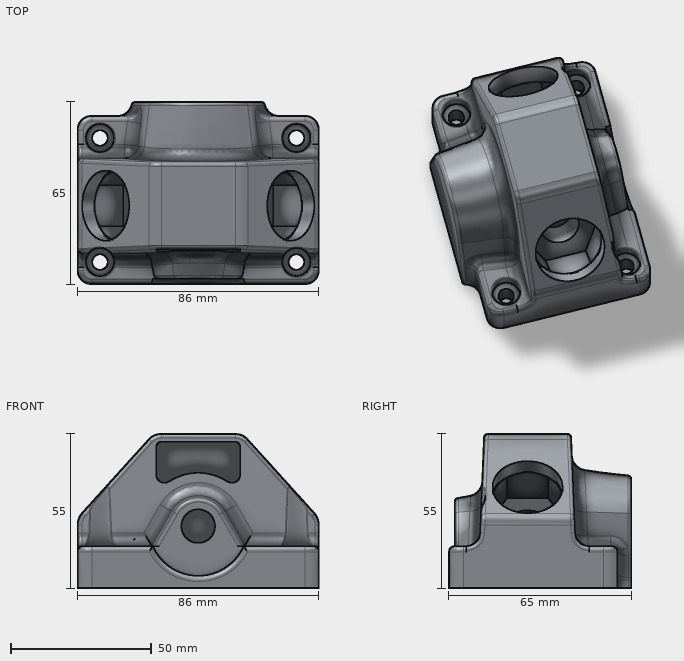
import cadquery as cq
import math

SEAM_TOLERANCE = 1e-4
RIM_TOLERANCE = 1e-3

BASE_LENGTH = 86.0
BASE_WIDTH = 60.0
BASE_HEIGHT = 15.0
BASE_CORNER_RADIUS = 5.0
BASE_EDGE_RADIUS = 2.0

HOUSING_HEIGHT = 55.0
HOUSING_TOP_HALF_LENGTH = 15.8
SHOULDER_HEIGHT = 24.9
SHOULDER_RADIUS = 6.0
HOUSING_CENTER_Y = -2.0
HOUSING_TOP_WIDTH = 31.0
HOUSING_DRAFT = 2.3
HOUSING_EDGE_RADIUS = 1.5
WALL_FILLET = 5.0
CORE_LENGTH = 80.0
CORE_DROP = 3.0

BOSS_AXIS_HEIGHT = 22.1
BOSS_EDGE_RADIUS = 1.5
FRONT_BOSS_Y = -28.0
FRONT_BOSS_ROOT_Y = -13.0
FRONT_BOSS_RADIUS = 9.9
FRONT_BOSS_FLANK = 30.0
FRONT_BOSS_DRAFT = 10.0
REAR_BOSS_Y = 35.0
REAR_BOSS_ROOT_Y = 10.0
REAR_BOSS_RADIUS = 18.0
REAR_BOSS_FLANK = 15.0
REAR_BOSS_DRAFT = 7.0
SKIRT_HEIGHT = 3.0
SKIRT_BEND_RADIUS = 3.0

SHAFT_DIAMETER = 12.0
SHAFT_DEPTH = 15.0
RECESS_RADIUS = 17.7

WINDOW_LENGTH = 30.0
WINDOW_TOP = 52.2
WINDOW_ARC_RADIUS = 19.0
WINDOW_TOP_RADIUS = 2.0
WINDOW_BOTTOM_RADIUS = 3.0
WINDOW_DEPTH = 25.0

SOCKET_HEIGHT = 36.0
SOCKET_DIAMETER = 25.0
SOCKET_RIM_DEPTH = 6.0
HEX_SIDE = 14.7
HEX_FLOOR_DEPTH = 20.0
SCREW_BORE_DIAMETER = 14.0
SCREW_BORE_DEPTH = 12.0

MOUNT_X = 35.0
MOUNT_Y = 22.1
MOUNT_DIAMETER = 5.5
SPOTFACE_DIAMETER = 10.0
SPOTFACE_RIM_RADIUS = 0.5
SPOTFACE_HEIGHT = 10.0

HALF_LENGTH = BASE_LENGTH / 2
HALF_WIDTH = BASE_WIDTH / 2
SLOPE_RUN = HALF_LENGTH - HOUSING_TOP_HALF_LENGTH
SLOPE_RISE = HOUSING_HEIGHT - SHOULDER_HEIGHT


def housing_half_width(z):
    """Half of the drafted housing width at height z."""
    growth = (HOUSING_HEIGHT - z) * math.tan(math.radians(HOUSING_DRAFT))
    return HOUSING_TOP_WIDTH / 2 + growth


def housing_prism():
    """Five-sided housing outline with rounded shoulders, long enough in Y to be trimmed."""
    return (
        cq.Workplane("XZ")
        .moveTo(-HALF_LENGTH, 0)
        .lineTo(HALF_LENGTH, 0)
        .lineTo(HALF_LENGTH, SHOULDER_HEIGHT)
        .lineTo(HOUSING_TOP_HALF_LENGTH, HOUSING_HEIGHT)
        .lineTo(-HOUSING_TOP_HALF_LENGTH, HOUSING_HEIGHT)
        .lineTo(-HALF_LENGTH, SHOULDER_HEIGHT)
        .close()
        .extrude(HALF_WIDTH, both=True)
        .edges("|Y and (not <Z)")
        .fillet(SHOULDER_RADIUS)
    )


def drafted_slab(length):
    """Slab with the drafted front and rear walls of the housing."""
    top = housing_half_width(HOUSING_HEIGHT)
    bottom = housing_half_width(0)
    return (
        cq.Workplane("YZ")
        .center(HOUSING_CENTER_Y, 0)
        .polyline([(-bottom, 0), (bottom, 0), (top, HOUSING_HEIGHT), (-top, HOUSING_HEIGHT)])
        .close()
        .extrude(length / 2, both=True)
    )


def make_base():
    """Rounded base plate with the round recess sunk into its front."""
    base = (
        cq.Workplane("XY")
        .box(BASE_LENGTH, BASE_WIDTH, BASE_HEIGHT, centered=(True, True, False))
        .edges("|Z")
        .fillet(BASE_CORNER_RADIUS)
        .faces(">Z")
        .edges()
        .fillet(BASE_EDGE_RADIUS)
    )
    return base.cut(recess_cutter())


def recess_cutter():
    """Disc that sinks the base front to the boss face, with a flared rounded rim."""
    rim_radius = RECESS_RADIUS + BASE_EDGE_RADIUS
    arc_reach = BASE_EDGE_RADIUS * math.sqrt(0.5)
    return (
        cq.Workplane("XY", origin=(0, 0, BOSS_AXIS_HEIGHT))
        .moveTo(0, FRONT_BOSS_Y)
        .lineTo(RECESS_RADIUS, FRONT_BOSS_Y)
        .threePointArc(
            (rim_radius - arc_reach, FRONT_BOSS_Y - arc_reach),
            (rim_radius, -HALF_WIDTH),
        )
        .lineTo(0, -HALF_WIDTH)
        .close()
        .revolve(360, (0, 0), (0, 1))
    )


def make_housing():
    """Housing with flared feet on its front and rear walls and rounded rim edges."""
    slab = drafted_slab(BASE_LENGTH)
    pedestal = cq.Workplane("XY").box(
        BASE_LENGTH, BASE_WIDTH, BASE_HEIGHT, centered=(True, True, False)
    )
    foot_corners = cq.selectors.BoxSelector(
        (-1, -HALF_WIDTH + 1, BASE_HEIGHT - 1), (1, HALF_WIDTH - 1, BASE_HEIGHT + 1)
    )
    footed = slab.union(pedestal).edges(foot_corners).fillet(WALL_FILLET)
    foot_reach = WALL_FILLET * math.tan(math.radians(45 - HOUSING_DRAFT / 2))
    foot_end = housing_half_width(BASE_HEIGHT) + foot_reach
    foot_limit = cq.Workplane("XY", origin=(0, HOUSING_CENTER_Y, 0)).box(
        BASE_LENGTH, 2 * foot_end, HOUSING_HEIGHT, centered=(True, True, False)
    )
    housing = footed.intersect(foot_limit).intersect(housing_prism())
    rim = housing.edges("not(|X or |Y or |Z)").add(housing.faces(">Z").edges("|X"))
    return rim.fillet(HOUSING_EDGE_RADIUS)


def make_boss(face_y, root_y, radius, flank_angle, draft):
    """Drafted boss: round crown, tangent flanks and a plumb skirt, widening toward the housing."""
    angle = math.radians(flank_angle)
    tangent_x = radius * math.cos(angle)
    tangent_z = BOSS_AXIS_HEIGHT + radius * math.sin(angle)
    bend_length = SKIRT_BEND_RADIUS * math.tan(angle / 2)
    bend_x = tangent_x + (tangent_z - SKIRT_HEIGHT - bend_length) * math.tan(angle)
    bend_top_x = bend_x - bend_length * math.sin(angle)
    bend_top_z = SKIRT_HEIGHT + bend_length * (1 + math.cos(angle))
    inward = 1 if root_y > face_y else -1
    face_plane = cq.Plane(origin=(0, face_y, 0), xDir=(-inward, 0, 0), normal=(0, inward, 0))
    boss = (
        cq.Workplane(face_plane)
        .moveTo(-bend_x, -BASE_HEIGHT)
        .lineTo(-bend_x, SKIRT_HEIGHT)
        .tangentArcPoint((-bend_top_x, bend_top_z), relative=False)
        .lineTo(-tangent_x, tangent_z)
        .threePointArc((0, BOSS_AXIS_HEIGHT + radius), (tangent_x, tangent_z))
        .lineTo(bend_top_x, bend_top_z)
        .tangentArcPoint((bend_x, SKIRT_HEIGHT), relative=False)
        .lineTo(bend_x, -BASE_HEIGHT)
        .close()
        .extrude(abs(root_y - face_y), taper=-draft)
    )
    face = boss.faces("<Y" if inward > 0 else ">Y")
    rounded = face.edges("not <Z").fillet(BOSS_EDGE_RADIUS)
    above_ground = cq.Workplane("XY").box(
        2 * BASE_LENGTH, 2 * BASE_WIDTH, HOUSING_HEIGHT, centered=(True, True, False)
    )
    return rounded.intersect(above_ground)


def fillet_seams(bodies, side):
    """Join bodies and round the corners where they meet on one side of the XZ plane (side is 1 or -1)."""
    joined = bodies[0]
    for body in bodies[1:]:
        joined = joined.union(body)
    seams = []
    for edge in joined.edges().vals():
        middle = cq.Vertex.makeVertex(*edge.positionAt(0.5).toTuple())
        touching = [
            body
            for body in bodies
            if min(face.distance(middle) for face in body.faces().vals()) < SEAM_TOLERANCE
        ]
        if len(touching) > 1 and middle.Z > SEAM_TOLERANCE and middle.Y * side > 0:
            seams.append(edge)
    return joined.newObject(seams).fillet(WALL_FILLET)


def shaft_cutter():
    """Blind shaft hole along Y from the front boss face."""
    plane = cq.Plane(origin=(0, FRONT_BOSS_Y, BOSS_AXIS_HEIGHT), xDir=(-1, 0, 0), normal=(0, 1, 0))
    return cq.Workplane(plane).circle(SHAFT_DIAMETER / 2).extrude(SHAFT_DEPTH)


def window_cutter():
    """Window pocket whose sill is an arc concentric with the front boss."""
    half_length = WINDOW_LENGTH / 2
    sill_end_z = BOSS_AXIS_HEIGHT + math.sqrt(WINDOW_ARC_RADIUS**2 - half_length**2)
    floor_y = HOUSING_CENTER_Y - housing_half_width(WINDOW_TOP) + WINDOW_DEPTH
    return (
        cq.Workplane("XZ", origin=(0, floor_y, 0))
        .moveTo(-half_length, sill_end_z)
        .threePointArc((0, BOSS_AXIS_HEIGHT + WINDOW_ARC_RADIUS), (half_length, sill_end_z))
        .lineTo(half_length, WINDOW_TOP)
        .lineTo(-half_length, WINDOW_TOP)
        .close()
        .extrude(HALF_WIDTH)
        .edges("|Y and >Z")
        .fillet(WINDOW_TOP_RADIUS)
        .edges("|Y and <Z")
        .fillet(WINDOW_BOTTOM_RADIUS)
    )


def socket_cutter(side):
    """Round mouth, hexagonal pocket and screw bore, square to the sloped face on one side."""
    mouth_x = HALF_LENGTH - SLOPE_RUN * (SOCKET_HEIGHT - SHOULDER_HEIGHT) / SLOPE_RISE
    plane = cq.Plane(
        origin=(side * mouth_x, HOUSING_CENTER_Y, SOCKET_HEIGHT),
        xDir=(0, 1, 0),
        normal=(-side * SLOPE_RISE, 0, -SLOPE_RUN),
    )
    mouth = cq.Workplane(plane).circle(SOCKET_DIAMETER / 2).extrude(SOCKET_RIM_DEPTH)
    pocket = (
        cq.Workplane(plane)
        .workplane(offset=SOCKET_RIM_DEPTH)
        .polygon(6, 2 * HEX_SIDE)
        .extrude(HEX_FLOOR_DEPTH - SOCKET_RIM_DEPTH)
    )
    bore = cq.Workplane(plane).circle(SCREW_BORE_DIAMETER / 2).extrude(HEX_FLOOR_DEPTH + SCREW_BORE_DEPTH)
    return mouth.union(pocket).union(bore)


def mount_cutter(x, y):
    """Vertical screw hole with a spotface that also clears the housing wall above it."""
    hole = cq.Workplane("XY").center(x, y).circle(MOUNT_DIAMETER / 2).extrude(HOUSING_HEIGHT)
    clearance = (
        cq.Workplane("XY", origin=(x, y, SPOTFACE_HEIGHT))
        .circle(SPOTFACE_DIAMETER / 2)
        .extrude(HOUSING_HEIGHT)
    )
    return hole.union(clearance)


def round_spotface_rim(part, x, y):
    """Round every edge where the spotface cylinder at (x, y) breaks out of the part."""

    def on_rim(edge):
        points = [edge.positionAt(fraction) for fraction in (0.25, 0.5, 0.75)]
        return all(
            point.z > SPOTFACE_HEIGHT + SEAM_TOLERANCE
            and abs(math.hypot(point.x - x, point.y - y) - SPOTFACE_DIAMETER / 2) < RIM_TOLERANCE
            for point in points
        )

    rim = [edge for edge in part.edges().vals() if on_rim(edge)]
    return part.newObject(rim).fillet(SPOTFACE_RIM_RADIUS)


base = make_base()
front_boss = make_boss(FRONT_BOSS_Y, FRONT_BOSS_ROOT_Y, FRONT_BOSS_RADIUS, FRONT_BOSS_FLANK, FRONT_BOSS_DRAFT)
rear_boss = make_boss(REAR_BOSS_Y, REAR_BOSS_ROOT_Y, REAR_BOSS_RADIUS, REAR_BOSS_FLANK, REAR_BOSS_DRAFT)

core_limit = housing_prism().translate((0, 0, -CORE_DROP))
core = drafted_slab(CORE_LENGTH).intersect(core_limit)
core = fillet_seams([core, front_boss], -1)
body = fillet_seams([core, base, rear_boss], 1)
result = body.union(make_housing())

result = result.cut(shaft_cutter()).cut(window_cutter())
for side in (-1, 1):
    result = result.cut(socket_cutter(side))
    for end in (-1, 1):
        mount_x = side * MOUNT_X
        mount_y = end * MOUNT_Y
        result = result.cut(mount_cutter(mount_x, mount_y))
        result = round_spotface_rim(result, mount_x, mount_y)